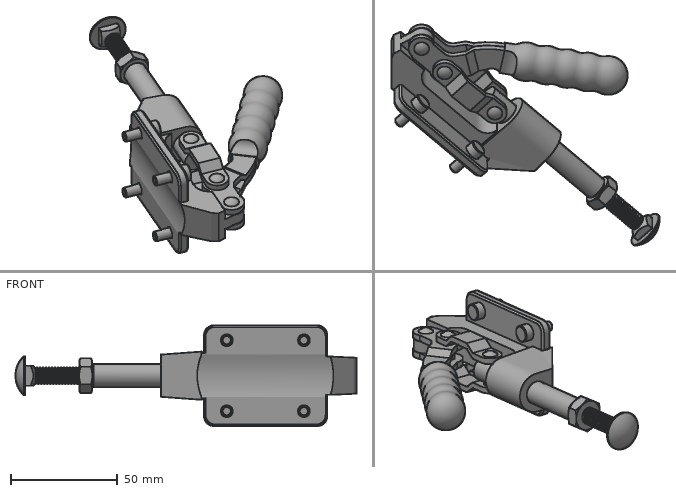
import cadquery as cq
import math


PLUNGER_DIA = 11.1
AXIS_Y = 24.55

DRAFT = 0.047
BARREL_R = 9.55
BARREL_TOP = AXIS_Y + BARREL_R
BLOCK_LENGTH = 27.8
BLOCK_NOSE_LOW = 15.2
BLOCK_NOSE_HIGH = 17.1
BLOCK_FOOT_HALF_WIDTH = 11.4
BLOCK_FLARE_END = (20.3, 5.6)
BLOCK_FOOT_X = 19.1
BARREL_INSET_FRONT = 1.0
BARREL_INSET_REAR = 1.2
RIB_HALF_WIDTH = 9.1
RIB_TOP = 12.1
LEDGE_Y = 18.0
LEDGE_REAR_X = 91.2
REAR_NOSE_X = 92.2
REAR_NOSE_Y = 14.3
REAR_BEVEL = (90.7, 11.3)
REAR_FOOT_X = 79.6
WINDOW_X = (27.6, 75.6)
WINDOW_END_R = 7.3
TONGUE_TOP_R = 5.8
GROOVE_HALF_WIDTH = 10.0
GROOVE_DEPTH = 1.6

FLANGE_X = (20.2, 78.4)
FLANGE_WIDTH = 47.6
FLANGE_THICKNESS = 5.0
FLANGE_CORNER_R = 5.0
FLANGE_CHAMFER = 0.9

SCREW_X = (31.0, 67.3)
SCREW_Z = 16.7
SCREW_DIA = 4.83
SCREW_HOLE_DIA = 5.6
SCREW_HEAD_DIA = 7.94
SCREW_HEAD_HEIGHT = 4.5
SCREW_REACH = 8.0
SCREW_TIP_CHAMFER = 0.5
SCREW_HEAD_CHAMFER = 0.4

BOLT_TIP_X = -68.59
BOLT_HEAD_R = 9.1
BOLT_HEAD_HEIGHT = 4.7
BOLT_RIM = 0.8
NECK_SIZE = 9.5
NECK_LENGTH = 4.8
NECK_CONE_LENGTH = 2.3
THREAD_PITCH = 1.411
THREAD_ROOT_DIA = 6.4
THREAD_CREST_DIA = 7.94
THREAD_BURY = 0.1
THREAD_ROOT_WIDTH = 0.88 * THREAD_PITCH
THREAD_CREST_WIDTH = 0.16 * THREAD_PITCH
BOLT_END_X = -12.0
NUT_WIDTH = 14.29
NUT_LENGTH = 6.1

PLUNGER_FRONT_X = -32.35
PLUNGER_CHAMFER = 0.7

PLUNGER_PIN = (35.3, AXIS_Y)
LEVER_PIN = (67.8, 23.85)
HOUSING_PIN = (83.7, 24.5)
PIN_DIA = 6.03
PIN_HEAD_R = 3.55
PIN_HEAD_HEIGHT = 1.55

PLATE_THICKNESS = 3.05
SEAM_HALF_GAP = 0.15
LEVER_SPREAD = 2.8
LEVER_OUTER_Z = SEAM_HALF_GAP + PLATE_THICKNESS + LEVER_SPREAD
FORK_INNER_Z = SEAM_HALF_GAP + LEVER_SPREAD
LEVER_JOG_START = (59.5, 36.6)
LEVER_JOG_ANGLE = -56.5
LEVER_JOG_LENGTH = 3.8
LEVER_PIN_EYE_R = 7.0
HOUSING_PIN_EYE_R = 6.1
ARM_WIDTH = 12.2
ARM_BACK_BEND_END = (64.1, 40.5)
ARM_BACK_STRAIGHT_END = (69.4, 32.7)
WEB_START_X = 74.0
WEB_RISE = 5.6
ARM_FRONT_BEND_START = (52.0, 37.6)
ARM_FRONT_BEND_MIDDLE = (50.2, 39.4)

GRIP_ANGLE = -33.5
GRIP_TIP_CENTER = (8.15, 73.02)
BEAD_R = 9.2
BEAD_COUNT = 5
BEAD_SPACING = 9.87
BEAD_HALF_LENGTH = 2.8
GRIP_COLLAR_R = 7.3
GRIP_COLLAR_LENGTH = 11.4
GRIP_FLAT_Z = 3.6
GRIP_FLAT_START = 9.5
LAST_BEAD_RUN_OUT = 4.8

LINK_THICKNESS = 2.85
LINK_EAR_R = 5.55
LINK_RISE = 3.55
LINK_SLOPES = (6.3, 10.9, 22.8, 26.9)

FAR = 100.0
JOIN_OVERLAP = 1.0


def jogged_plate(stations, levels, thickness):
    """Bent sheet running along X, as wide as FAR, following inner-face levels in Z."""
    lower = list(zip(stations, levels))
    upper = [(x, z + thickness) for x, z in reversed(lower)]
    return cq.Workplane("XZ").polyline(lower + upper).close().extrude(FAR / 2, both=True)


def dome_midpoint(rim_r, height):
    """Middle of a spherical dome's arc: its distance from the axis and its drop below the crown."""
    sphere_r = (rim_r**2 + height**2) / (2 * height)
    half_angle = math.asin(rim_r / sphere_r) / 2
    return (sphere_r * math.sin(half_angle), sphere_r * (1 - math.cos(half_angle)))


def pivot_pin(center, outer_z):
    """Pin along Z with a domed head on each outer face."""
    shaft = cq.Workplane("XY").center(*center).circle(PIN_DIA / 2).extrude(outer_z, both=True)
    middle_r, middle_drop = dome_midpoint(PIN_HEAD_R, PIN_HEAD_HEIGHT)
    head = (
        cq.Workplane("XZ")
        .moveTo(0, 0)
        .lineTo(0, PIN_HEAD_HEIGHT)
        .threePointArc((middle_r, PIN_HEAD_HEIGHT - middle_drop), (PIN_HEAD_R, 0))
        .close()
        .revolve(360, (0, 0, 0), (0, 1, 0))
        .translate((center[0], center[1], outer_z))
    )
    return shaft.union(head).union(head.mirror("XY"))


def pin_hole(center):
    return cq.Workplane("XY").center(*center).circle(PIN_DIA / 2).extrude(FAR, both=True)


def front_block():
    lean = math.atan(DRAFT)
    tangent_y = AXIS_Y + BARREL_R * math.sin(lean)
    tangent_z = BARREL_R * math.cos(lean)
    foot_z = tangent_z + DRAFT * tangent_y
    nose = (0, BLOCK_NOSE_LOW, foot_z - DRAFT * BLOCK_NOSE_LOW)
    flare_end = (*BLOCK_FLARE_END, foot_z - DRAFT * BLOCK_FLARE_END[1])
    foot = (BLOCK_FOOT_X, 0, BLOCK_FOOT_HALF_WIDTH)
    section = (
        cq.Workplane("YZ")
        .moveTo(0, -foot_z)
        .lineTo(tangent_y, -tangent_z)
        .threePointArc((BARREL_TOP, 0), (tangent_y, tangent_z))
        .lineTo(0, foot_z)
        .close()
        .extrude(BLOCK_LENGTH)
    )
    outline = (
        cq.Workplane("XY")
        .moveTo(BLOCK_FOOT_X, 0)
        .lineTo(0, BLOCK_NOSE_LOW)
        .lineTo(0, BLOCK_NOSE_HIGH)
        .lineTo(BARREL_INSET_FRONT, BARREL_TOP)
        .lineTo(BLOCK_LENGTH - BARREL_INSET_REAR, BARREL_TOP)
        .lineTo(BLOCK_LENGTH, 0)
        .close()
        .extrude(FAR / 2, both=True)
    )
    return section.intersect(outline).union(triangular_prism(nose, flare_end, foot))


def triangular_prism(*corners):
    """Prism along Z between a triangle and its mirror image in the symmetry plane."""
    top = cq.Wire.makePolygon([cq.Vector(*c) for c in corners], close=True)
    return cq.Workplane(obj=cq.Solid.makeLoft([top.mirror("XY"), top], True))


def rear_rib():
    ledge_half_width = RIB_HALF_WIDTH - DRAFT * LEDGE_Y
    section = (
        cq.Workplane("YZ")
        .polyline([
            (0, -RIB_HALF_WIDTH),
            (LEDGE_Y, -ledge_half_width),
            (LEDGE_Y, ledge_half_width),
            (0, RIB_HALF_WIDTH),
        ])
        .close()
        .extrude(REAR_NOSE_X)
    )
    outline = (
        cq.Workplane("XY")
        .polyline([
            (BLOCK_FOOT_X, 0),
            (REAR_FOOT_X, 0),
            REAR_BEVEL,
            (REAR_NOSE_X, REAR_NOSE_Y),
            (LEDGE_REAR_X, LEDGE_Y),
            (BLOCK_LENGTH - JOIN_OVERLAP, LEDGE_Y),
            (BLOCK_LENGTH - JOIN_OVERLAP, RIB_TOP),
            (BLOCK_FOOT_X, RIB_TOP),
        ])
        .close()
        .extrude(FAR / 2, both=True)
    )
    window = (
        cq.Workplane("XY")
        .center(sum(WINDOW_X) / 2, RIB_TOP + WINDOW_END_R)
        .slot2D(WINDOW_X[1] - WINDOW_X[0], 2 * WINDOW_END_R)
        .extrude(FAR / 2, both=True)
    )
    return section.intersect(outline).cut(window)


def pivot_tongue():
    """Upright between the lever's fork arms, drilled for the fixed pivot."""
    x, y = HOUSING_PIN
    return (
        cq.Workplane("XY")
        .moveTo(x - TONGUE_TOP_R, LEDGE_Y - JOIN_OVERLAP)
        .lineTo(x - TONGUE_TOP_R, y)
        .threePointArc((x, y + TONGUE_TOP_R), (x + TONGUE_TOP_R, y))
        .lineTo(LEDGE_REAR_X, LEDGE_Y)
        .lineTo(LEDGE_REAR_X, LEDGE_Y - JOIN_OVERLAP)
        .close()
        .extrude(FORK_INNER_Z, both=True)
    )


def mounting_flange():
    length = FLANGE_X[1] - FLANGE_X[0]
    return (
        cq.Workplane("XY")
        .box(length, FLANGE_THICKNESS, FLANGE_WIDTH)
        .translate((sum(FLANGE_X) / 2, FLANGE_THICKNESS / 2, 0))
        .edges("|Y")
        .fillet(FLANGE_CORNER_R)
        .faces("<Y or >Y")
        .edges()
        .chamfer(FLANGE_CHAMFER)
    )


def underside_groove():
    radius = (GROOVE_HALF_WIDTH**2 + GROOVE_DEPTH**2) / (2 * GROOVE_DEPTH)
    return (
        cq.Workplane("YZ")
        .center(GROOVE_DEPTH - radius, 0)
        .circle(radius)
        .extrude(FAR)
    )


def screw_places():
    return [(x, z) for x in SCREW_X for z in (-SCREW_Z, SCREW_Z)]


def make_housing():
    body = front_block().union(rear_rib()).union(pivot_tongue()).union(mounting_flange())
    body = body.cut(underside_groove())
    bore = cq.Workplane("YZ").center(AXIS_Y, 0).circle(PLUNGER_DIA / 2).extrude(BLOCK_LENGTH)
    body = body.cut(bore).cut(pin_hole(HOUSING_PIN))
    for x, z in screw_places():
        hole = (
            cq.Workplane("XZ", origin=(x, 0, z))
            .circle(SCREW_HOLE_DIA / 2)
            .extrude(-FLANGE_THICKNESS)
        )
        body = body.cut(hole)
    return body


def make_screw(x, z):
    """Cap screw pointing down (-Y), its head seated on top of the flange."""
    shank = (
        cq.Workplane("XZ", origin=(x, FLANGE_THICKNESS, z))
        .circle(SCREW_DIA / 2)
        .extrude(FLANGE_THICKNESS + SCREW_REACH)
        .faces("<Y")
        .chamfer(SCREW_TIP_CHAMFER)
    )
    head = (
        cq.Workplane("XZ", origin=(x, FLANGE_THICKNESS, z))
        .circle(SCREW_HEAD_DIA / 2)
        .extrude(-SCREW_HEAD_HEIGHT)
        .faces(">Y")
        .chamfer(SCREW_HEAD_CHAMFER)
    )
    return head.union(shank)


NUT_FRONT_X = PLUNGER_FRONT_X - NUT_LENGTH
NECK_FRONT_X = BOLT_TIP_X + BOLT_HEAD_HEIGHT
THREAD_FRONT_X = NECK_FRONT_X + NECK_LENGTH


def raise_to_axis(body):
    return body.translate((0, AXIS_Y, 0))


def rod(start_x, end_x, diameter):
    return cq.Workplane("YZ", origin=(start_x, 0, 0)).circle(diameter / 2).extrude(end_x - start_x)


def thread_ridge():
    """Helical ridge, run one turn past both ends and trimmed square."""
    length = NUT_FRONT_X - THREAD_FRONT_X
    root_r = THREAD_ROOT_DIA / 2 - THREAD_BURY
    crest_r = THREAD_CREST_DIA / 2
    half_root = THREAD_ROOT_WIDTH / 2
    half_crest = THREAD_CREST_WIDTH / 2
    helix = cq.Wire.makeHelix(THREAD_PITCH, length + 2 * THREAD_PITCH, root_r)
    ridge = (
        cq.Workplane("XZ")
        .polyline([
            (root_r, -half_root),
            (crest_r, -half_crest),
            (crest_r, half_crest),
            (root_r, half_root),
        ])
        .close()
        .sweep(cq.Workplane(obj=helix), isFrenet=True)
        .rotate((0, 0, 0), (0, 1, 0), 90)
        .translate((THREAD_FRONT_X - THREAD_PITCH, 0, 0))
    )
    return ridge.intersect(rod(THREAD_FRONT_X, NUT_FRONT_X, 2 * THREAD_CREST_DIA))


def make_bolt():
    middle_r, middle_drop = dome_midpoint(BOLT_HEAD_R, BOLT_HEAD_HEIGHT - BOLT_RIM)
    head = (
        cq.Workplane("XY")
        .moveTo(BOLT_TIP_X, 0)
        .threePointArc(
            (BOLT_TIP_X + middle_drop, middle_r),
            (NECK_FRONT_X - BOLT_RIM, BOLT_HEAD_R),
        )
        .lineTo(NECK_FRONT_X, BOLT_HEAD_R)
        .lineTo(NECK_FRONT_X, 0)
        .close()
        .revolve(360, (0, 0, 0), (1, 0, 0))
    )
    corner_r = NECK_SIZE * math.sqrt(0.5)
    neck = (
        cq.Workplane("YZ", origin=(NECK_FRONT_X, 0, 0))
        .rect(NECK_SIZE, NECK_SIZE)
        .extrude(NECK_LENGTH)
    )
    rounding = (
        rod(NECK_FRONT_X, THREAD_FRONT_X, 2 * corner_r)
        .faces(">X")
        .chamfer(NECK_CONE_LENGTH, corner_r - THREAD_ROOT_DIA / 2)
    )
    core = rod(NECK_FRONT_X, BOLT_END_X, THREAD_ROOT_DIA)
    return raise_to_axis(head.union(neck.intersect(rounding)).union(core).union(thread_ridge()))


def make_nut():
    corner_dia = NUT_WIDTH / math.cos(math.pi / 6)
    bevel = (corner_dia - NUT_WIDTH) / 2
    blank = (
        cq.Workplane("YZ", origin=(NUT_FRONT_X, 0, 0))
        .polygon(6, corner_dia)
        .extrude(NUT_LENGTH)
        .rotate((0, 0, 0), (1, 0, 0), 90)
    )
    turned = (
        rod(NUT_FRONT_X, PLUNGER_FRONT_X, corner_dia)
        .faces("<X or >X")
        .chamfer(bevel * math.tan(math.pi / 6), bevel)
    )
    bore = rod(NUT_FRONT_X, PLUNGER_FRONT_X, THREAD_ROOT_DIA)
    return raise_to_axis(blank.intersect(turned).cut(bore))


def make_plunger():
    body = rod(PLUNGER_FRONT_X, PLUNGER_PIN[0] + LINK_EAR_R, PLUNGER_DIA)
    body = body.faces("<X").chamfer(PLUNGER_CHAMFER)
    body = body.cut(rod(PLUNGER_FRONT_X, BOLT_END_X, THREAD_ROOT_DIA))
    return raise_to_axis(body).cut(pin_hole(PLUNGER_PIN))


def make_link():
    """Two jogged side plates tied together by the pins through the plunger and the lever."""
    dx = LEVER_PIN[0] - PLUNGER_PIN[0]
    dy = LEVER_PIN[1] - PLUNGER_PIN[1]
    length = math.hypot(dx, dy)
    low = LEVER_OUTER_Z
    high = low + LINK_RISE
    stations = [-LINK_EAR_R, *LINK_SLOPES, length + LINK_EAR_R]
    sheet = jogged_plate(stations, [low, low, high, high, low, low], LINK_THICKNESS)
    outline = (
        cq.Workplane("XY")
        .center(length / 2, 0)
        .slot2D(length + 2 * LINK_EAR_R, 2 * LINK_EAR_R)
        .extrude(FAR)
    )
    plate = (
        sheet.intersect(outline)
        .rotate((0, 0, 0), (0, 0, 1), math.degrees(math.atan2(dy, dx)))
        .translate((*PLUNGER_PIN, 0))
    )
    body = pivot_pin(PLUNGER_PIN, low + LINK_THICKNESS)
    body = body.union(pivot_pin(LEVER_PIN, low + LINK_THICKNESS))
    return body.union(plate).union(plate.mirror("XY"))


def grip_point(along, across):
    """Point at a distance along the grip's axis from its tip centre, and left of the axis."""
    a = math.radians(GRIP_ANGLE)
    x = GRIP_TIP_CENTER[0] + along * math.cos(a) - across * math.sin(a)
    y = GRIP_TIP_CENTER[1] + along * math.sin(a) + across * math.cos(a)
    return (x, y)


LAST_BEAD = (BEAD_COUNT - 1) * BEAD_SPACING
GRIP_END = LAST_BEAD + GRIP_COLLAR_LENGTH


def lever_outline():
    half = ARM_WIDTH / 2
    web_top = HOUSING_PIN[1] + WEB_RISE
    arm = (
        cq.Workplane("XY")
        .moveTo(*grip_point(LAST_BEAD, half))
        .lineTo(*grip_point(GRIP_END, half))
        .tangentArcPoint(ARM_BACK_BEND_END, relative=False)
        .lineTo(*ARM_BACK_STRAIGHT_END)
        .tangentArcPoint((WEB_START_X, web_top), relative=False)
        .lineTo(HOUSING_PIN[0], web_top)
        .lineTo(HOUSING_PIN[0], LEDGE_Y)
        .lineTo(LEVER_PIN[0], LEDGE_Y)
        .lineTo(LEVER_PIN[0] - LEVER_PIN_EYE_R, LEVER_PIN[1])
        .lineTo(*ARM_FRONT_BEND_START)
        .threePointArc(ARM_FRONT_BEND_MIDDLE, grip_point(GRIP_END, -half))
        .lineTo(*grip_point(LAST_BEAD, -half))
        .close()
        .extrude(FAR)
    )
    lever_pin_eye = cq.Workplane("XY").center(*LEVER_PIN).circle(LEVER_PIN_EYE_R).extrude(FAR)
    housing_pin_eye = cq.Workplane("XY").center(*HOUSING_PIN).circle(HOUSING_PIN_EYE_R).extrude(FAR)
    return arm.union(lever_pin_eye).union(housing_pin_eye)


def lever_plate():
    sheet = (
        jogged_plate(
            [-FAR / 2, 0, LEVER_JOG_LENGTH, FAR / 2],
            [SEAM_HALF_GAP, SEAM_HALF_GAP, FORK_INNER_Z, FORK_INNER_Z],
            PLATE_THICKNESS,
        )
        .rotate((0, 0, 0), (0, 0, 1), LEVER_JOG_ANGLE)
        .translate((*LEVER_JOG_START, 0))
    )
    return sheet.intersect(lever_outline()).cut(pin_hole(LEVER_PIN))


def make_grip():
    edge_r = math.sqrt(BEAD_R**2 - BEAD_HALF_LENGTH**2)
    hollow_half = BEAD_SPACING / 2 - BEAD_HALF_LENGTH
    hollow_r = hollow_half * BEAD_R / BEAD_HALF_LENGTH
    hollow_floor = edge_r - hollow_r * (1 - edge_r / BEAD_R)
    diagonal = BEAD_R * math.sqrt(0.5)
    profile = cq.Workplane("XY").moveTo(-BEAD_R, 0)
    profile = profile.threePointArc((-diagonal, diagonal), (0, BEAD_R))
    for i in range(BEAD_COUNT - 1):
        x = i * BEAD_SPACING
        profile = (
            profile
            .tangentArcPoint((x + BEAD_HALF_LENGTH, edge_r), relative=False)
            .threePointArc(
                (x + BEAD_SPACING / 2, hollow_floor),
                (x + BEAD_SPACING - BEAD_HALF_LENGTH, edge_r))
            .tangentArcPoint((x + BEAD_SPACING, BEAD_R), relative=False)
        )
    end_r = math.sqrt(BEAD_R**2 - LAST_BEAD_RUN_OUT**2)
    fillet_r = (end_r - GRIP_COLLAR_R) / (1 - end_r / BEAD_R)
    fillet_length = fillet_r * LAST_BEAD_RUN_OUT / BEAD_R
    collar_start = LAST_BEAD + LAST_BEAD_RUN_OUT + fillet_length
    grip = (
        profile
        .tangentArcPoint((LAST_BEAD + LAST_BEAD_RUN_OUT, end_r), relative=False)
        .tangentArcPoint((collar_start, GRIP_COLLAR_R), relative=False)
        .lineTo(GRIP_END, GRIP_COLLAR_R)
        .lineTo(GRIP_END, 0)
        .close()
        .revolve(360, (0, 0, 0), (1, 0, 0))
    )
    flat_start = LAST_BEAD + GRIP_FLAT_START
    flat_r = GRIP_FLAT_START - LAST_BEAD_RUN_OUT
    flat = (
        cq.Workplane("XZ")
        .moveTo(GRIP_END, GRIP_FLAT_Z)
        .lineTo(flat_start, GRIP_FLAT_Z)
        .tangentArcPoint((flat_start - flat_r, GRIP_FLAT_Z + flat_r), relative=False)
        .lineTo(flat_start - flat_r, BEAD_R)
        .lineTo(GRIP_END, BEAD_R)
        .close()
        .extrude(FAR / 2, both=True)
    )
    grip = grip.cut(flat).cut(flat.mirror("XY"))
    return grip.rotate((0, 0, 0), (0, 0, 1), GRIP_ANGLE).translate((*GRIP_TIP_CENTER, 0))


def make_handle():
    plate = lever_plate()
    body = make_grip().union(plate).union(plate.mirror("XY"))
    return body.union(pivot_pin(HOUSING_PIN, LEVER_OUTER_Z))


housing = make_housing()
plunger = make_plunger()
bolt = make_bolt()
nut = make_nut()
link = make_link()
handle = make_handle()
screws = [make_screw(x, z) for x, z in screw_places()]

bodies = [housing, plunger, bolt, nut, link, handle, *screws]
result = cq.Compound.makeCompound([solid for body in bodies for solid in body.solids().vals()])